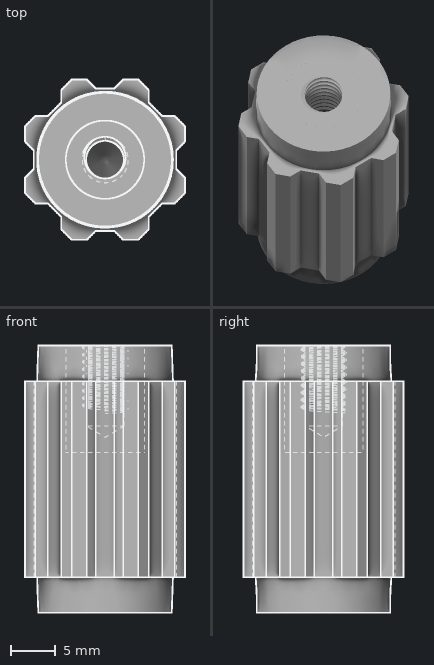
import cadquery as cq
import math

total_height = 30.0
boss_height = 4.0
boss_base_diameter = 15.27
boss_end_diameter = 15.0

grip_width = 18.0
flute_count = 8
flute_depth = 1.0
flute_floor_width = 2.1

insert_diameter = 8.8
insert_length = 12.0
bore_diameter = 4.23
thread_root_diameter = 5.13
thread_pitch = 0.8
thread_flank_angle = 30.0
thread_root_flat = thread_pitch / 8
thread_turns = 10
thread_start_angle = 90.0
bore_depth = 9.0
drill_point_angle = 118.0

grip_height = total_height - 2 * boss_height
top = total_height / 2
grip_top = grip_height / 2
bore_radius = bore_diameter / 2
thread_root_radius = thread_root_diameter / 2
overlap = 0.05


def make_boss():
    """Drafted round end standing on the upper face of the grip."""
    return (
        cq.Workplane("XY", origin=(0, 0, grip_top))
        .circle(boss_base_diameter / 2)
        .workplane(offset=boss_height)
        .circle(boss_end_diameter / 2)
        .loft(ruled=True)
    )


def make_flute(index):
    """Trapezoidal flute down the middle of one flat of the octagon."""
    face_radius = grip_width / 2
    floor_half = flute_floor_width / 2
    mouth_half = floor_half + flute_depth
    flute = (
        cq.Workplane("XY", origin=(0, 0, -grip_top))
        .polyline([
            (face_radius - flute_depth, -floor_half),
            (face_radius, -mouth_half),
            (face_radius, mouth_half),
            (face_radius - flute_depth, floor_half),
        ])
        .close()
        .extrude(grip_height)
    )
    return flute.rotate((0, 0, 0), (0, 0, 1), index * 360 / flute_count)


def make_housing():
    """Fluted grip with a boss on each end and a pocket for the insert."""
    corner_diameter = grip_width / math.cos(math.pi / flute_count)
    housing = (
        cq.Workplane("XY", origin=(0, 0, -grip_top))
        .polygon(flute_count, corner_diameter)
        .extrude(grip_height)
        .rotate((0, 0, 0), (0, 0, 1), 180 / flute_count)
    )
    for index in range(flute_count):
        housing = housing.cut(make_flute(index))
    upper_boss = make_boss()
    housing = housing.union(upper_boss).union(upper_boss.mirror("XY"))
    return housing.cut(make_insert_blank())


def make_insert_blank():
    """Solid cylinder that fills the insert pocket."""
    return (
        cq.Workplane("XY", origin=(0, 0, top - insert_length))
        .circle(insert_diameter / 2)
        .extrude(insert_length)
    )


def make_bore():
    """Blind bore that ends in a drill point."""
    point_height = bore_radius / math.tan(math.radians(drill_point_angle / 2))
    bore_end = top - bore_depth
    return (
        cq.Workplane("XZ")
        .polyline([
            (0, top),
            (bore_radius, top),
            (bore_radius, bore_end),
            (0, bore_end - point_height),
        ])
        .close()
        .revolve(360, (0, 0), (0, 1))
    )


def make_thread_groove():
    """Right-handed helical V groove that runs out through the upper end face."""
    inner_radius = bore_radius - overlap
    root_half = thread_root_flat / 2
    slope = math.tan(math.radians(thread_flank_angle))
    mouth_half = root_half + (thread_root_radius - inner_radius) * slope
    groove_length = thread_turns * thread_pitch
    groove_start = top + thread_pitch - groove_length
    helix = cq.Wire.makeHelix(thread_pitch, groove_length, bore_radius)
    groove = (
        cq.Workplane("XZ")
        .polyline([
            (inner_radius, -mouth_half),
            (thread_root_radius, -root_half),
            (thread_root_radius, root_half),
            (inner_radius, mouth_half),
        ])
        .close()
        .sweep(cq.Workplane(helix), isFrenet=True)
    )
    return (
        groove.translate((0, 0, groove_start))
        .rotate((0, 0, 0), (0, 0, 1), thread_start_angle)
    )


def make_insert():
    """Insert flush with the end of the upper boss; mirrored to make its thread left-handed."""
    right_handed = make_insert_blank().cut(make_bore()).cut(make_thread_groove())
    return right_handed.mirror("YZ")


housing = make_housing()
insert = make_insert()

result = cq.Compound.makeCompound([housing.solids().val(), insert.solids().val()])